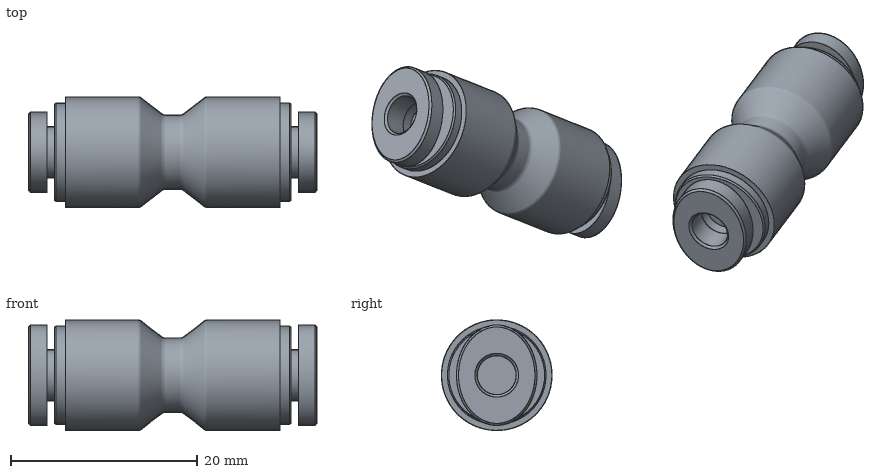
import cadquery as cq

LEFT, RIGHT = -1, 1
overall_length = 31.0

housing_diameter = 11.9
housing_length = 23.1
waist_diameter = 8.0
waist_half_length = 1.02
cone_half_length = 3.55
barrel_corner_radius = 0.5
waist_corner_radius = 0.6

collar_diameter = 10.6
collar_length = 1.18
collar_bore_diameter = 4.18
collar_chamfer_length = 0.2
collar_chamfer_depth = 0.15

button_width = 8.65
button_height = 10.8
button_thickness = 2.0
button_chamfer = 0.22
neck_diameter = 5.5
sleeve_bore_diameter = 4.2
bore_chamfer = 0.25

housing_end = housing_length / 2
collar_end = housing_end + collar_length
sleeve_end = overall_length / 2
button_back = sleeve_end - button_thickness
neck_length = button_back - collar_end
sleeve_length = sleeve_end - collar_end
selection_margin = 0.01


def cylinder(start, diameter, length):
    """Cylinder along +X that begins at X = start."""
    return cq.Workplane("YZ").workplane(offset=start).circle(diameter / 2).extrude(length)


def place(body, side):
    """Put a body built for the +X end at the chosen end of the housing."""
    if side == RIGHT:
        return body
    return body.rotate((0, 0, 0), (0, 0, 1), 180)


def on_circles(diameter, x_place):
    """Selector for the edges that fit in a disc of this diameter on the plane X = x_place."""
    half = diameter / 2 + selection_margin
    return cq.selectors.BoxSelector(
        (x_place - selection_margin, -half, -half),
        (x_place + selection_margin, half, half),
        boundingbox=True,
    )


def make_housing():
    barrel_radius = housing_diameter / 2
    waist_radius = waist_diameter / 2
    housing = (
        cq.Workplane("XY")
        .moveTo(-housing_end, 0)
        .lineTo(-housing_end, barrel_radius)
        .lineTo(-cone_half_length, barrel_radius)
        .lineTo(-waist_half_length, waist_radius)
        .lineTo(waist_half_length, waist_radius)
        .lineTo(cone_half_length, barrel_radius)
        .lineTo(housing_end, barrel_radius)
        .lineTo(housing_end, 0)
        .close()
        .revolve(360, (0, 0, 0), (1, 0, 0))
    )
    for side in (LEFT, RIGHT):
        barrel_corner = on_circles(housing_diameter, side * cone_half_length)
        housing = housing.edges(barrel_corner).fillet(barrel_corner_radius)
        waist_corner = on_circles(waist_diameter, side * waist_half_length)
        housing = housing.edges(waist_corner).fillet(waist_corner_radius)
    return housing


def make_collar(side):
    collar_radius = collar_diameter / 2
    bore_radius = collar_bore_diameter / 2
    collar = (
        cq.Workplane("XY")
        .moveTo(housing_end, bore_radius)
        .lineTo(housing_end, collar_radius)
        .lineTo(collar_end - collar_chamfer_length, collar_radius)
        .lineTo(collar_end, collar_radius - collar_chamfer_depth)
        .lineTo(collar_end, bore_radius)
        .close()
        .revolve(360, (0, 0, 0), (1, 0, 0))
    )
    return place(collar, side)


def make_sleeve(side):
    button = (
        cq.Workplane("YZ")
        .workplane(offset=button_back)
        .ellipse(button_width / 2, button_height / 2)
        .extrude(button_thickness)
        .faces(">X")
        .chamfer(button_chamfer)
    )
    neck = cylinder(collar_end, neck_diameter, neck_length)
    bore = cylinder(collar_end, sleeve_bore_diameter, sleeve_length)
    sleeve = button.union(neck).cut(bore)
    bore_mouth = on_circles(sleeve_bore_diameter, sleeve_end)
    sleeve = sleeve.edges(bore_mouth).chamfer(bore_chamfer)
    return place(sleeve, side)


housing = make_housing()
collars = [make_collar(side) for side in (LEFT, RIGHT)]
sleeves = [make_sleeve(side) for side in (LEFT, RIGHT)]

result = cq.Compound.makeCompound(
    [housing.val()]
    + [collar.val() for collar in collars]
    + [sleeve.val() for sleeve in sleeves]
)